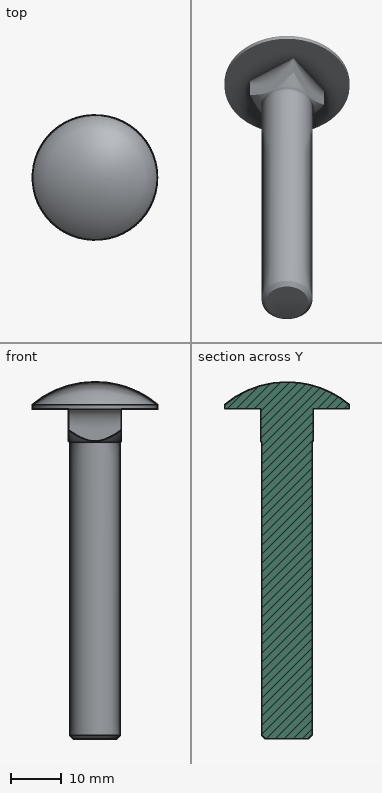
import cadquery as cq

HEAD_DIAMETER = 24.65
HEAD_HEIGHT = 5.38
RIM_HEIGHT = 0.88

NECK_WIDTH = 10.42
NECK_LENGTH = 6.5

SHANK_DIAMETER = 10.0
LENGTH_UNDER_HEAD = 65.0
TIP_CHAMFER = 0.8


def make_head():
    """Round head: a short cylindrical rim below a spherical dome."""
    radius = HEAD_DIAMETER / 2
    dome_height = HEAD_HEIGHT - RIM_HEIGHT
    rim = cq.Workplane("XY").circle(radius).extrude(RIM_HEIGHT)

    sphere_radius = (radius**2 + dome_height**2) / (2 * dome_height)
    sphere_center_z = HEAD_HEIGHT - sphere_radius
    sphere = cq.Workplane("XY").sphere(sphere_radius).translate((0, 0, sphere_center_z))
    dome_space = (
        cq.Workplane("XY")
        .workplane(offset=RIM_HEIGHT)
        .circle(HEAD_DIAMETER)
        .extrude(HEAD_HEIGHT)
    )
    return rim.union(sphere.intersect(dome_space))


def make_neck():
    """Square neck whose lower corners are trimmed by a 45 degree cone."""
    square = cq.Workplane("XY").rect(NECK_WIDTH, NECK_WIDTH).extrude(-NECK_LENGTH)

    lower_radius = SHANK_DIAMETER / 2
    trimming_cone = (
        cq.Workplane("XZ")
        .moveTo(0, -NECK_LENGTH)
        .lineTo(lower_radius, -NECK_LENGTH)
        .lineTo(lower_radius + NECK_LENGTH, 0)
        .lineTo(0, 0)
        .close()
        .revolve(360, (0, 0, 0), (0, 1, 0))
    )
    return square.intersect(trimming_cone)


def make_shank():
    """Plain round shank with a chamfered tip."""
    return (
        cq.Workplane("XY")
        .circle(SHANK_DIAMETER / 2)
        .extrude(-LENGTH_UNDER_HEAD)
        .faces("<Z")
        .chamfer(TIP_CHAMFER)
    )


result = make_head().union(make_neck()).union(make_shank())